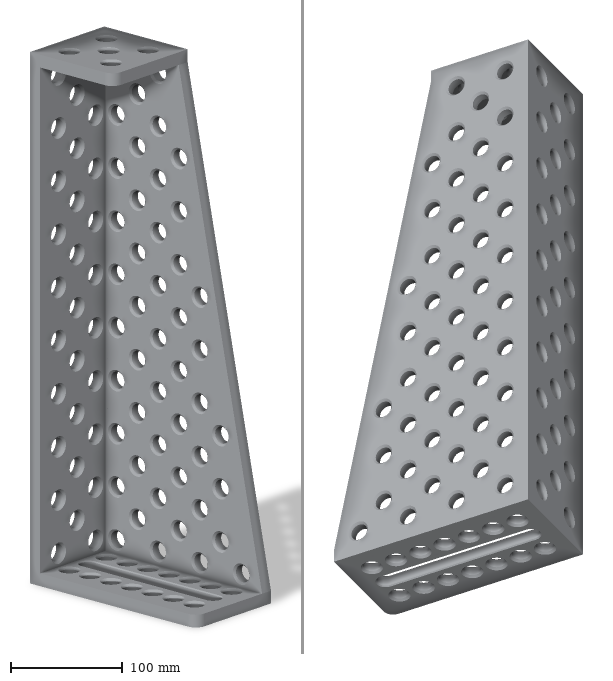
import cadquery as cq

base_length = 200.0
top_length = 100.0
width = 100.0
height = 500.0

wall = 12.0
corner_radius = 10.0

hole_diameter = 16.0
hole_chamfer = 2.0
pitch = 50.0
half_pitch = pitch / 2
min_edge_distance = 15.0

slot_width = hole_diameter
slot_chamfer = 1.0
chamfer_angle = 45
slot_centre_distance = base_length - pitch


def steps(start, stop):
    """Positions one pitch apart, from start up to and including stop."""
    count = int((stop - start) / pitch) + 1
    return [start + i * pitch for i in range(count)]


def staggered_points(length, breadth):
    """Square grid of points with one more point at the middle of every square."""
    corners = [(u, v) for u in steps(half_pitch, length - half_pitch)
               for v in steps(half_pitch, breadth - half_pitch)]
    centres = [(u, v) for u in steps(pitch, length - pitch)
               for v in steps(pitch, breadth - pitch)]
    return corners + centres


def slope_x(z):
    """X of the sloping edge of the web at height z."""
    rise = height - 2 * wall
    return base_length - (base_length - top_length) * (z - wall) / rise


def flange(length, z):
    """Horizontal plate with its free front corner rounded."""
    plate = cq.Workplane("XY").box(length, width, wall, centered=False)
    plate = plate.edges("|Z and >X and <Y").fillet(corner_radius)
    return plate.translate((0, 0, z))


def drill(points, normal):
    """Cutters through one plate, starting at each point and widened at both faces."""
    radius = hole_diameter / 2
    wide = radius + hole_chamfer
    profile = [(0, 0), (wide, 0), (radius, hole_chamfer), (radius, wall - hole_chamfer),
               (wide, wall), (0, wall)]
    cutter = cq.Workplane("XZ").polyline(profile).close().revolve(360, (0, 0), (0, 1)).val()
    places = [cq.Plane(origin=point, xDir=(normal[1], normal[2], normal[0]), normal=normal).location
              for point in points]
    return cq.Workplane("XY").newObject([cutter.moved(place) for place in places]).combine()


def slot_cutter(slot_breadth, depth, taper):
    """Round-ended bar rising from the underside of the base, narrowing by the taper angle."""
    centre = (base_length / 2, width / 2, 0)
    outline = cq.Workplane("XY", origin=centre).slot2D(slot_centre_distance + slot_breadth, slot_breadth)
    return outline.extrude(depth, taper=taper)


back = cq.Workplane("XY").box(wall, width, height, centered=False)
base = flange(base_length, 0)
top = flange(top_length, height - wall)
web = (
    cq.Workplane("XZ", origin=(0, width, 0))
    .polyline([(0, wall), (base_length, wall), (top_length, height - wall), (0, height - wall)])
    .close()
    .extrude(wall)
)
body = back.union(base).union(top).union(web)

back_holes = [(0, y, z) for z, y in staggered_points(height, width)]
top_holes = [(x, y, height - wall) for x, y in staggered_points(top_length, width)]

web_holes = [(x, width - wall, z) for x, z in staggered_points(base_length, height)
             if x + min_edge_distance <= slope_x(z)]

row_count = int(base_length / half_pitch) - 1
base_holes = [(half_pitch * (i + 1), y, 0) for i in range(row_count)
              for y in (half_pitch, width - half_pitch)]

slot = slot_cutter(slot_width, wall, 0)
bottom_mouth = slot_cutter(slot_width + 2 * slot_chamfer, slot_chamfer, chamfer_angle)
top_mouth = bottom_mouth.mirror("XY", (0, 0, wall / 2))

result = (
    body.cut(drill(back_holes, (1, 0, 0)))
    .cut(drill(web_holes, (0, 1, 0)))
    .cut(drill(top_holes + base_holes, (0, 0, 1)))
    .cut(slot)
    .cut(bottom_mouth)
    .cut(top_mouth)
)